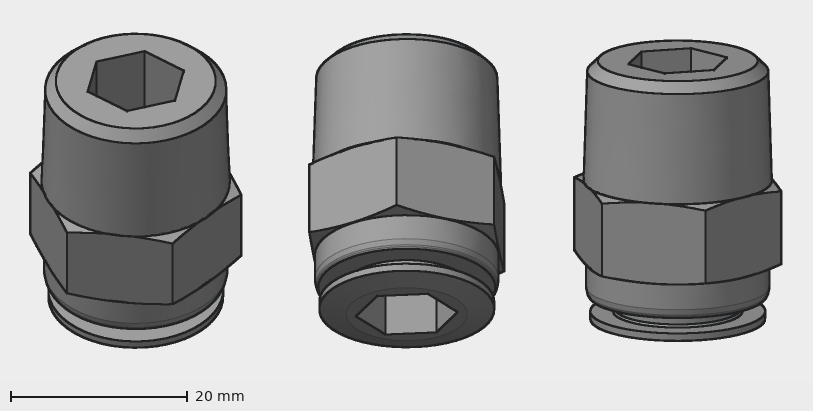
import cadquery as cq
import math

total_height = 30.8
rim_z = 0.65
flange_top_z = 1.55
neck_flare_z = 1.85
body_bottom_z = 3.35
body_lower_bevel_z = 3.57
body_upper_bevel_z = 3.75
body_taper_z = 4.45
nut_bottom_z = 7.4
nut_top_z = 16.82
thread_chamfer_z = 29.6

bottom_diameter = 13.68
flange_diameter = 19.8
neck_diameter = 14.2
neck_flare = 0.22
body_diameter = 20.8
body_end_diameter = 20.5
body_lower_bevel = 0.25
body_upper_bevel = 0.1

thread_tip_diameter = 20.5
thread_face_diameter = 18.08
thread_taper = 1 / 16
thread_root_diameter = thread_tip_diameter + thread_taper * (thread_chamfer_z - nut_top_z)

nut_across_corners = 24.25
nut_across_flats = nut_across_corners * math.cos(math.pi / 6)
nut_bevel_height = 0.45
socket_across_flats = 10.0
socket_across_corners = socket_across_flats / math.cos(math.pi / 6)


def revolve_profile(points):
    """Revolve (radius, z) points about the Z axis."""
    return cq.Workplane("XZ").polyline(points).close().revolve(360, (0, 0), (0, 1))


def make_round_body():
    """Flange, neck, body and tapered thread as one turned solid."""
    return revolve_profile([
        (0, 0),
        (bottom_diameter / 2, 0),
        (flange_diameter / 2, rim_z),
        (flange_diameter / 2, flange_top_z),
        (neck_diameter / 2 + neck_flare, flange_top_z),
        (neck_diameter / 2, neck_flare_z),
        (neck_diameter / 2, body_bottom_z),
        (body_end_diameter / 2 - body_lower_bevel, body_bottom_z),
        (body_end_diameter / 2 - body_upper_bevel, body_lower_bevel_z),
        (body_end_diameter / 2, body_upper_bevel_z),
        (body_diameter / 2, body_taper_z),
        (body_diameter / 2, nut_top_z),
        (thread_root_diameter / 2, nut_top_z),
        (thread_tip_diameter / 2, thread_chamfer_z),
        (thread_face_diameter / 2, total_height),
        (0, total_height),
    ])


def make_nut():
    """Hexagon with corners on X, its corners bevelled by a cone at each end."""
    hexagon = (
        cq.Workplane("XY", origin=(0, 0, nut_bottom_z))
        .polygon(6, nut_across_corners)
        .extrude(nut_top_z - nut_bottom_z)
    )
    bevel_envelope = revolve_profile([
        (0, nut_bottom_z),
        (nut_across_flats / 2, nut_bottom_z),
        (nut_across_corners / 2, nut_bottom_z + nut_bevel_height),
        (nut_across_corners / 2, nut_top_z - nut_bevel_height),
        (nut_across_flats / 2, nut_top_z),
        (0, nut_top_z),
    ])
    return hexagon.intersect(bevel_envelope)


def make_socket():
    """Through hexagon socket with corners on Y."""
    return (
        cq.Workplane("XY")
        .transformed(rotate=(0, 0, 90))
        .polygon(6, socket_across_corners)
        .extrude(total_height)
    )


result = make_round_body().union(make_nut()).cut(make_socket())